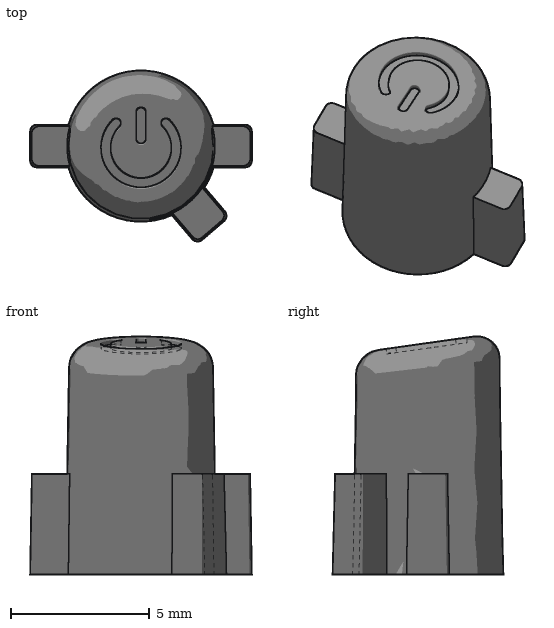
import cadquery as cq
import math

DRAFT = 1.0

BODY_BASE_RADIUS = 2.74
CAP_HEIGHT = 8.385
CAP_TILT = 8.0
CAP_ROUND_CHORD = 1.25
RIM_STATIONS = 16

ARM_REACH = 4.015
ARM_WIDTH = 1.55
ARM_HEIGHT = 3.65
ARM_CORNER_RADIUS = 0.25
ARM_ANGLES = (0, 180, -49.5)

SYMBOL_OFFSET = -0.08
SYMBOL_DEPTH = 0.18
SYMBOL_EDGE_FILLET = 0.05
STROKE_WIDTH = 0.35
RING_INNER_RADIUS = 1.1
RING_GAP_HALF_ANGLE = 45
BAR_START = 0.15
BAR_END = 1.48


def rim_radius(point):
    """Rounding radius at a rim point that keeps the chord equal: smaller on the high side."""
    rise = CAP_TILT * point.y / math.hypot(point.x, point.y)
    inside_angle = 90 + DRAFT - rise
    return CAP_ROUND_CHORD / (2 * math.cos(math.radians(inside_angle) / 2))


def round_rim(post):
    """Round the top rim with a radius that varies smoothly around it."""
    shapes = cq.occ_impl.shapes
    rim = post.faces(">Z").edges().val()
    radius_law = shapes.TColgp_HArray1OfPnt2d(1, RIM_STATIONS + 1)
    for station in range(RIM_STATIONS + 1):
        fraction = station / RIM_STATIONS
        radius = rim_radius(rim.positionAt(fraction))
        radius_law.SetValue(station + 1, shapes.gp_Pnt2d(fraction, radius))
    builder = shapes.BRepFilletAPI_MakeFillet(post.val().wrapped)
    builder.Add(radius_law.Array1(), rim.wrapped)
    return cq.Workplane(cq.Shape.cast(builder.Shape()))


def make_body():
    """Drafted round post, cut off by the sloping top face and rounded there."""
    blank_height = CAP_HEIGHT + BODY_BASE_RADIUS
    post = cq.Workplane("XY").circle(BODY_BASE_RADIUS).extrude(blank_height, taper=DRAFT)
    cutter_size = 4 * BODY_BASE_RADIUS
    cutter = (
        cq.Workplane("XY")
        .box(cutter_size, cutter_size, cutter_size, centered=(True, True, False))
        .rotate((0, 0, 0), (1, 0, 0), CAP_TILT)
        .translate((0, 0, CAP_HEIGHT))
    )
    return round_rim(post.cut(cutter))


def make_arm(angle):
    """Drafted arm from the body axis outward, with rounded upright corners at its tip."""
    return (
        cq.Workplane("XY")
        .center(ARM_REACH / 2, 0)
        .rect(ARM_REACH, ARM_WIDTH)
        .extrude(ARM_HEIGHT, taper=DRAFT)
        .faces(">X")
        .edges("not |Y")
        .fillet(ARM_CORNER_RADIUS)
        .rotate((0, 0, 0), (0, 0, 1), angle)
    )


def symbol_plane():
    """Plane on the sloping top face, centred on the symbol, with local Y up the slope."""
    tilt = math.radians(CAP_TILT)
    return cq.Plane(
        origin=(0, SYMBOL_OFFSET * math.cos(tilt), CAP_HEIGHT + SYMBOL_OFFSET * math.sin(tilt)),
        xDir=(1, 0, 0),
        normal=(0, -math.sin(tilt), math.cos(tilt)),
    )


def make_ring_groove():
    """Open ring with round ends; its gap is centred on the bar."""
    outer_radius = RING_INNER_RADIUS + STROKE_WIDTH
    middle_radius = RING_INNER_RADIUS + STROKE_WIDTH / 2
    gap = math.radians(RING_GAP_HALF_ANGLE)

    def at(radius, side):
        return (side * radius * math.sin(gap), radius * math.cos(gap))

    def round_end(side):
        past_end = STROKE_WIDTH / 2
        x, y = at(middle_radius, side)
        return (x - side * past_end * math.cos(gap), y + past_end * math.sin(gap))

    return (
        cq.Workplane(symbol_plane())
        .moveTo(*at(outer_radius, -1))
        .threePointArc((0, -outer_radius), at(outer_radius, 1))
        .threePointArc(round_end(1), at(RING_INNER_RADIUS, 1))
        .threePointArc((0, -RING_INNER_RADIUS), at(RING_INNER_RADIUS, -1))
        .threePointArc(round_end(-1), at(outer_radius, -1))
        .close()
        .extrude(-SYMBOL_DEPTH)
    )


def make_bar_groove():
    """Straight slot with round ends, running up the slope from the symbol centre."""
    return (
        cq.Workplane(symbol_plane())
        .center(0, (BAR_START + BAR_END) / 2)
        .slot2D(BAR_END - BAR_START, STROKE_WIDTH, angle=90)
        .extrude(-SYMBOL_DEPTH)
    )


def sink_symbol(part):
    """Cut both grooves into the top face and round their upper edges."""
    sunk = part.cut(make_ring_groove()).cut(make_bar_groove())
    on_top_face = cq.selectors.NearestToPointSelector(symbol_plane().origin.toTuple())
    top_face = sunk.faces(on_top_face)
    groove_edges = [edge for wire in top_face.val().innerWires() for edge in wire.Edges()]
    return top_face.newObject(groove_edges).fillet(SYMBOL_EDGE_FILLET)


result = make_body()
for arm_angle in ARM_ANGLES:
    result = result.union(make_arm(arm_angle))
result = sink_symbol(result)